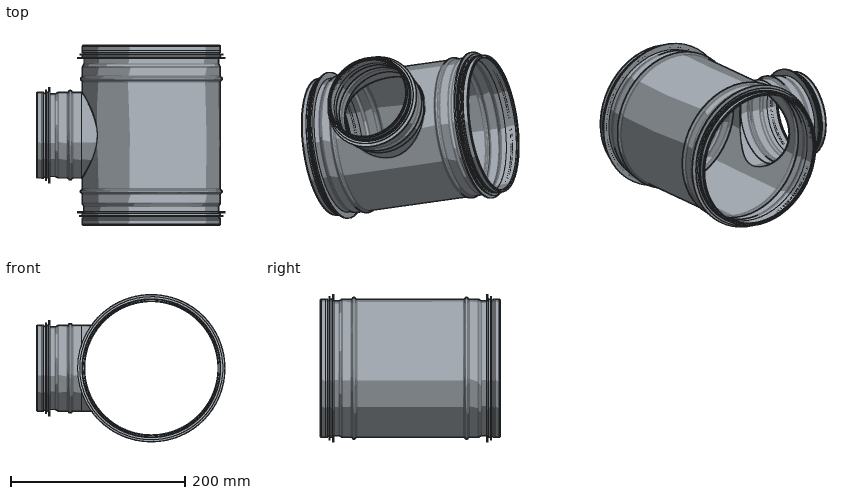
import cadquery as cq
import math

main_diameter = 159.0
branch_diameter = 99.0
main_length = 207.0
overall_width = 216.7
wall = 0.55
neck_reach = 80.5
neck_fillet = 0.7

seat_depth = 1.85
hem_end = 6.3
fold_end = 2.8
ramp_start = 21.7
ramp_end = 25.0
ramp_rounding = 1.0

bead_centre = 38.8
bead_height = 2.2
bead_angle = math.radians(45)
bead_crown_radius = 2.0
bead_foot_radius = 1.0

shoulder_end = 8.2
shoulder_height = 0.2
relief_depth = 0.98
lip_start = 10.2
lip_end = 11.3
lip_height = 2.7
rim_start = 14.0
rim_end = 15.5
rim_height = 5.2
rim_foot = 0.7

main_radius = main_diameter / 2
branch_radius = branch_diameter / 2
fold_depth = seat_depth + 2 * wall
fold_radius = fold_depth / 2
branch_reach = overall_width - main_radius - rim_height
branch_length = branch_reach - neck_reach
ramp_angle = math.atan(seat_depth / (ramp_end - ramp_start))
bead_apex_height = bead_height + bead_crown_radius * (1 / math.cos(bead_angle) - 1)
bead_half_width = bead_apex_height / math.tan(bead_angle)
half_turn = 180


def draw_rounded(sketch, path):
    """Continue a sketch along (distance, radius, rounding) corners, rounding all but the first and last."""
    corners = [cq.Vector(along, radius) for along, radius, _ in path]
    for i in range(1, len(path) - 1):
        incoming = (corners[i] - corners[i - 1]).normalized()
        outgoing = (corners[i + 1] - corners[i]).normalized()
        setback = path[i][2] * math.tan(incoming.getAngle(outgoing) / 2)
        arc_start = corners[i] - incoming * setback
        arc_end = corners[i] + outgoing * setback
        sketch = sketch.lineTo(arc_start.x, arc_start.y)
        sketch = sketch.tangentArcPoint((arc_end.x, arc_end.y), relative=False)
    return sketch.lineTo(corners[-1].x, corners[-1].y)


def sheet_face(radius, inset, start, end):
    """Corners of the sheet face that lies an inset below the outer face, from the seat past the bead."""
    level = radius - inset
    ramp_shift = inset * math.tan(ramp_angle / 2)
    bead_shift = inset * math.tan(bead_angle / 2)
    bead_foot = bead_half_width - bead_shift
    apex = level + bead_foot * math.tan(bead_angle)
    return [
        (start, level - seat_depth, 0),
        (ramp_start + ramp_shift, level - seat_depth, ramp_rounding - inset),
        (ramp_end + ramp_shift, level, ramp_rounding + inset),
        (bead_centre - bead_foot, level, bead_foot_radius + inset),
        (bead_centre, apex, bead_crown_radius - inset),
        (bead_centre + bead_foot, level, bead_foot_radius + inset),
        (end, level, 0),
    ]


def revolve_about_x(sketch):
    return sketch.close().revolve(360, (0, 0, 0), (1, 0, 0))


def make_pipe_end(radius, length):
    """Sheet metal pipe along +X with its hemmed mouth at X = 0."""
    inner_radius = radius - wall
    seat_radius = radius - seat_depth
    bore_radius = seat_radius - wall
    fold_bore_radius = radius - fold_depth
    fold_centre = radius - fold_radius
    sketch = (
        cq.Workplane("XY")
        .moveTo(hem_end, inner_radius)
        .lineTo(hem_end, radius)
        .lineTo(fold_radius, radius)
        .threePointArc((0, fold_centre), (fold_radius, fold_bore_radius))
        .lineTo(fold_end, fold_bore_radius)
        .lineTo(fold_end, bore_radius)
    )
    sketch = draw_rounded(sketch, sheet_face(radius, wall, fold_end, length))
    sketch = sketch.lineTo(length, radius)
    sketch = draw_rounded(sketch, sheet_face(radius, 0, fold_radius, length)[::-1])
    gap_radius = (inner_radius - seat_radius) / 2
    gap_bottom = (fold_radius - gap_radius, seat_radius + gap_radius)
    sketch = sketch.threePointArc(gap_bottom, (fold_radius, inner_radius))
    return revolve_about_x(sketch)


def make_gasket(radius):
    """Rubber ring held under the hem, with a thin lip and a taller rim."""
    seat_radius = radius - seat_depth
    sketch = cq.Workplane("XY").polyline(
        [
            (fold_radius, seat_radius),
            (fold_radius, radius - wall),
            (hem_end, radius - wall),
            (hem_end, radius + shoulder_height),
            (shoulder_end, radius + shoulder_height),
            (shoulder_end, radius - relief_depth),
            (lip_start, radius - relief_depth),
            (lip_start, radius + lip_height),
            (lip_end, radius + lip_height),
            (lip_end, radius),
            (rim_start - rim_foot, radius),
            (rim_start, radius + rim_foot),
            (rim_start, radius + rim_height),
            (rim_end, radius + rim_height),
            (rim_end, seat_radius),
        ]
    )
    return revolve_about_x(sketch)


def place_at_main_end(body):
    """Turn a body from the X axis to the -Y end of the main tube."""
    return body.rotate((0, 0, 0), (0, 0, 1), 90).translate((0, -main_length / 2, 0))


def cylinder_along_branch(radius):
    """Solid from the neck seam to the tube axis."""
    return cq.Workplane("YZ", origin=(-neck_reach, 0, 0)).circle(radius).extrude(neck_reach)


def make_main_tube():
    """Both pipe ends, joined at mid-length, with the neck drawn out for the branch."""
    half_tube = place_at_main_end(make_pipe_end(main_radius, main_length / 2))
    tube = half_tube.union(half_tube.rotate((0, 0, 0), (0, 0, 1), half_turn)).clean()
    tube_bore = cq.Workplane("XZ").circle(main_radius - wall).extrude(branch_radius, both=True)
    neck = cylinder_along_branch(branch_radius).cut(tube_bore)
    joined = tube.union(neck)
    foot_box = cq.selectors.BoxSelector(
        (-neck_reach + neck_fillet, -branch_radius - wall, -branch_radius - wall),
        (0, branch_radius + wall, branch_radius + wall),
    )
    return joined.edges(foot_box).fillet(neck_fillet).cut(cylinder_along_branch(branch_radius - wall))


main_tube = make_main_tube()
branch_pipe = make_pipe_end(branch_radius, branch_length).translate((-branch_reach, 0, 0))
branch_gasket = make_gasket(branch_radius).translate((-branch_reach, 0, 0))

main_gaskets = []
for turn in (0, half_turn):
    gasket = place_at_main_end(make_gasket(main_radius))
    main_gaskets.append(gasket.rotate((0, 0, 0), (0, 0, 1), turn))

result = cq.Compound.makeCompound(
    [main_tube.val(), branch_pipe.val(), branch_gasket.val(), *[ring.val() for ring in main_gaskets]]
)